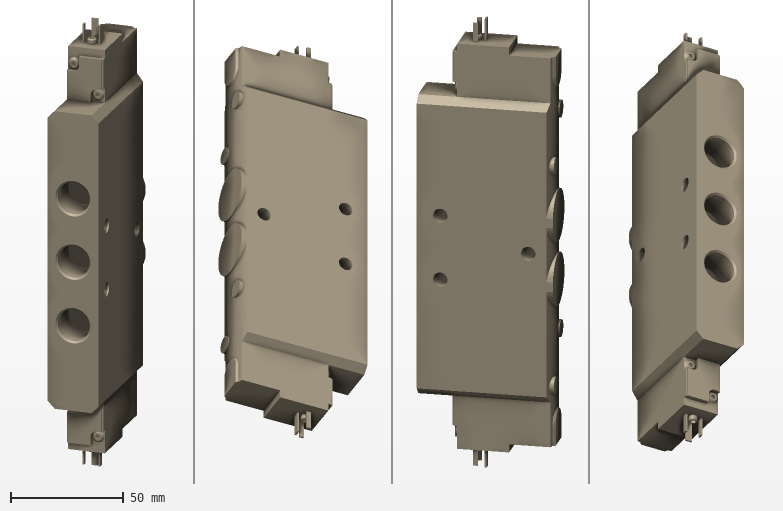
import cadquery as cq
import math

WIDTH = 24.0
DEPTH = 62.0
CROWN_Y = 61.5
BACK_EDGE_Y = 59.0
HALF_WIDTH = WIDTH / 2

HOUSING_HALF_LENGTH = 50.0
SUPPLY_PORT_PITCH = 30.0
PORT_DIAMETER = 15.0
PORT_DEPTH = 14.8
PORT_CHAMFER = 0.8
OUTLET_BOSS_DIAMETER = 24.5
OUTLET_Z = SUPPLY_PORT_PITCH / 2
MOUNTING_HOLE_DIAMETER = 6.5
FRONT_HOLE_Y = 10.8
BACK_HOLE_Y = 50.9

BUTTON_DIAMETER = 8.0
BUTTON_X = 6.0
HOUSING_BUTTON_Z = 40.0
CAP_BUTTON_Z = 63.0
BOSS_ROOT_Y = 57.0

CAP_END_Z = 70.3
CAP_CHAMFER = 3.4

PILOT_WIDTH = WIDTH - 2 * CAP_CHAMFER
PILOT_HALF_WIDTH = PILOT_WIDTH / 2
PILOT_SHOULDER_Z = 91.4
COIL_TOP_Z = 95.2
COIL_FRONT_Y = 17.7
COIL_BACK_Y = 41.4
COVER_FRONT_Y = 15.5
COVER_EDGE_STEP = 0.6

PAD_HALF_WIDTH = 6.8
PAD_BOTTOM_Z = 75.1
PAD_SLOPE = 0.8

SCREW_X = 5.7
OUTER_SCREW_Z = 87.4
INNER_SCREW_Z = 74.0
SCREW_DIAMETER = 5.7
SCREW_TOP_DIAMETER = 3.8
SCREW_HEIGHT = 1.0
SOCKET_DIAMETER = 2.0
SOCKET_DEPTH = 0.8
POCKET_RADIUS = 3.0

CONTACT_Y = 25.1
POST_DIAMETER = 4.2
POST_HOLE_DIAMETER = 2.5
POST_HEIGHT = 2.3
POST_CHAMFER = 0.5
SIDE_PIN_X = 3.8
SIDE_PIN_THICKNESS = 0.8
SIDE_PIN_WIDTH = 2.1
SIDE_PIN_TOP_Z = 104.0
BLADE_Y = 29.1
BLADE_THICKNESS = 0.8
BLADE_WIDTH = 3.2
BLADE_TOP_Z = 105.5


def block(x_range, y_range, z_range):
    """Box between the given limits on each axis."""
    size = [high - low for low, high in (x_range, y_range, z_range)]
    corner = (x_range[0], y_range[0], z_range[0])
    return cq.Workplane("XY").box(*size, centered=False).translate(corner)


def cylinder_y(diameter, x, z, y_start, y_end):
    """Cylinder along +Y between two depths."""
    start = cq.Vector(x, y_start, z)
    solid = cq.Solid.makeCylinder(diameter / 2, y_end - y_start, start, cq.Vector(0, 1, 0))
    return cq.Workplane(solid)


def arched_bar(z_start, z_end):
    """Bar along Z with a flat front, flat sides and an arched back."""
    return (
        cq.Workplane("XY", origin=(0, 0, z_start))
        .moveTo(-HALF_WIDTH, 0)
        .lineTo(HALF_WIDTH, 0)
        .lineTo(HALF_WIDTH, BACK_EDGE_Y)
        .threePointArc((0, CROWN_Y), (-HALF_WIDTH, BACK_EDGE_Y))
        .close()
        .extrude(z_end - z_start)
    )


def button(x, z):
    return cylinder_y(BUTTON_DIAMETER, x, z, BOSS_ROOT_Y, DEPTH)


def supply_port(z):
    """Blind bore in the front face with a chamfered mouth."""
    radius = PORT_DIAMETER / 2
    mouth = cq.Solid.makeCone(
        radius + PORT_CHAMFER, radius, PORT_CHAMFER, cq.Vector(0, 0, z), cq.Vector(0, 1, 0)
    )
    return cylinder_y(PORT_DIAMETER, 0, z, 0, PORT_DEPTH).union(cq.Workplane(mouth))


def mounting_hole(y, z):
    """Bore across the full width."""
    return (
        cq.Workplane("YZ", origin=(-HALF_WIDTH, 0, 0))
        .center(y, z)
        .circle(MOUNTING_HOLE_DIAMETER / 2)
        .extrude(WIDTH)
    )


def outlet_boss(z):
    """Round boss on the back, trimmed flush with the sides."""
    boss = cylinder_y(OUTLET_BOSS_DIAMETER, 0, z, BOSS_ROOT_Y, DEPTH)
    between_sides = block(
        (-HALF_WIDTH, HALF_WIDTH), (0, DEPTH), (-HOUSING_HALF_LENGTH, HOUSING_HALF_LENGTH)
    )
    return boss.intersect(between_sides)


def make_housing():
    housing = arched_bar(-HOUSING_HALF_LENGTH, HOUSING_HALF_LENGTH)
    for side in (-1, 1):
        housing = housing.union(outlet_boss(side * OUTLET_Z))
        housing = housing.union(button(side * BUTTON_X, side * HOUSING_BUTTON_Z))
        housing = housing.cut(mounting_hole(FRONT_HOLE_Y, side * OUTLET_Z))
    housing = housing.cut(mounting_hole(BACK_HOLE_Y, 0))
    for step in (-1, 0, 1):
        housing = housing.cut(supply_port(step * SUPPLY_PORT_PITCH))
    return housing


def make_cap():
    cap = arched_bar(HOUSING_HALF_LENGTH, CAP_END_Z)
    outline = (
        cq.Workplane("XZ")
        .moveTo(-HALF_WIDTH, HOUSING_HALF_LENGTH)
        .lineTo(HALF_WIDTH, HOUSING_HALF_LENGTH)
        .lineTo(HALF_WIDTH, CAP_END_Z - CAP_CHAMFER)
        .lineTo(PILOT_HALF_WIDTH, CAP_END_Z)
        .lineTo(-PILOT_HALF_WIDTH, CAP_END_Z)
        .lineTo(-HALF_WIDTH, CAP_END_Z - CAP_CHAMFER)
        .close()
        .extrude(-DEPTH)
    )
    return cap.intersect(outline).union(button(-BUTTON_X, CAP_BUTTON_Z))


def cover_pocket(x_side, z_side, screw_z):
    """Corner pocket around a screw, open to the side and to one end of the cover."""
    center_x = x_side * SCREW_X
    depth = COIL_FRONT_Y - COVER_FRONT_Y
    inner_x = center_x - x_side * POCKET_RADIUS
    inner_z = screw_z - z_side * POCKET_RADIUS
    outer_x = x_side * PILOT_HALF_WIDTH
    outer_z = PILOT_SHOULDER_Z if z_side > 0 else CAP_END_Z
    arc_offset = POCKET_RADIUS * math.sqrt(0.5)
    arc_middle = (center_x - x_side * arc_offset, screw_z - z_side * arc_offset)
    return (
        cq.Workplane("XZ", origin=(0, COVER_FRONT_Y, 0))
        .moveTo(outer_x, outer_z)
        .lineTo(outer_x, inner_z)
        .lineTo(center_x, inner_z)
        .threePointArc(arc_middle, (inner_x, screw_z))
        .lineTo(inner_x, outer_z)
        .close()
        .extrude(-depth)
    )


def screw_head(x, z):
    """Conical screw head on the pocket floor with a round socket."""
    head = cq.Solid.makeCone(
        SCREW_DIAMETER / 2,
        SCREW_TOP_DIAMETER / 2,
        SCREW_HEIGHT,
        cq.Vector(x, COIL_FRONT_Y, z),
        cq.Vector(0, -1, 0),
    )
    top_y = COIL_FRONT_Y - SCREW_HEIGHT
    socket = cylinder_y(SOCKET_DIAMETER, x, z, top_y, top_y + SOCKET_DEPTH)
    return cq.Workplane(head).cut(socket)


def make_cover():
    """Front cover of the coil with stepped side edges and two screw pockets."""
    cover_z = (CAP_END_Z, PILOT_SHOULDER_Z)
    cover = block((-PILOT_HALF_WIDTH, PILOT_HALF_WIDTH), (COVER_FRONT_Y, COIL_FRONT_Y), cover_z)
    step_y = (COVER_FRONT_Y, COVER_FRONT_Y + COVER_EDGE_STEP)
    step_x = PILOT_HALF_WIDTH - COVER_EDGE_STEP
    cover = cover.cut(block((-PILOT_HALF_WIDTH, -step_x), step_y, cover_z))
    cover = cover.cut(block((step_x, PILOT_HALF_WIDTH), step_y, cover_z))
    cover = cover.cut(cover_pocket(-1, 1, OUTER_SCREW_Z))
    return cover.cut(cover_pocket(1, -1, INNER_SCREW_Z))


def make_pad():
    """Raised pad on the back of the pilot: rounded lower end and sloping edges."""
    outline = (
        cq.Workplane("XZ", origin=(0, DEPTH, 0))
        .moveTo(-PAD_HALF_WIDTH, PILOT_SHOULDER_Z)
        .lineTo(-PAD_HALF_WIDTH, PAD_BOTTOM_Z + PAD_HALF_WIDTH)
        .threePointArc((0, PAD_BOTTOM_Z), (PAD_HALF_WIDTH, PAD_BOTTOM_Z + PAD_HALF_WIDTH))
        .lineTo(PAD_HALF_WIDTH, PILOT_SHOULDER_Z)
        .close()
    )
    pad = outline.extrude(DEPTH - BOSS_ROOT_Y)
    return pad.faces(">Y").edges("not >Z").chamfer(PAD_SLOPE)


def make_pilot():
    width = (-PILOT_HALF_WIDTH, PILOT_HALF_WIDTH)
    ledge = arched_bar(CAP_END_Z, PILOT_SHOULDER_Z)
    ledge = ledge.intersect(block(width, (COIL_FRONT_Y, DEPTH), (CAP_END_Z, PILOT_SHOULDER_Z)))
    coil = block(width, (COIL_FRONT_Y, COIL_BACK_Y), (CAP_END_Z, COIL_TOP_Z))
    pilot = ledge.union(coil).union(make_cover()).union(make_pad())
    pilot = pilot.union(screw_head(-SCREW_X, OUTER_SCREW_Z))
    return pilot.union(screw_head(SCREW_X, INNER_SCREW_Z))


def centered_range(middle, size):
    return (middle - size / 2, middle + size / 2)


def make_post():
    """Hollow round post with a chamfered rim."""
    post_base = cq.Workplane("XY", origin=(0, CONTACT_Y, COIL_TOP_Z))
    post = post_base.circle(POST_DIAMETER / 2).extrude(POST_HEIGHT)
    bore = post_base.circle(POST_HOLE_DIAMETER / 2).extrude(POST_HEIGHT)
    return post.faces(">Z").chamfer(POST_CHAMFER).cut(bore)


def make_side_pin(side):
    return block(
        centered_range(side * SIDE_PIN_X, SIDE_PIN_THICKNESS),
        centered_range(CONTACT_Y, SIDE_PIN_WIDTH),
        (COIL_TOP_Z, SIDE_PIN_TOP_Z),
    )


def make_earth_blade():
    return block(
        centered_range(0, BLADE_WIDTH),
        centered_range(BLADE_Y, BLADE_THICKNESS),
        (COIL_TOP_Z, BLADE_TOP_Z),
    )


def make_end_unit():
    unit = make_cap().union(make_pilot())
    unit = unit.union(make_post()).union(make_earth_blade())
    for side in (-1, 1):
        unit = unit.union(make_side_pin(side))
    return unit


housing = make_housing()
end_units = [
    make_end_unit().rotate((0, 0, 0), (0, 1, 0), angle)
    for angle in (0, 180)
]

result = cq.Compound.makeCompound([housing.val(), *[unit.val() for unit in end_units]])